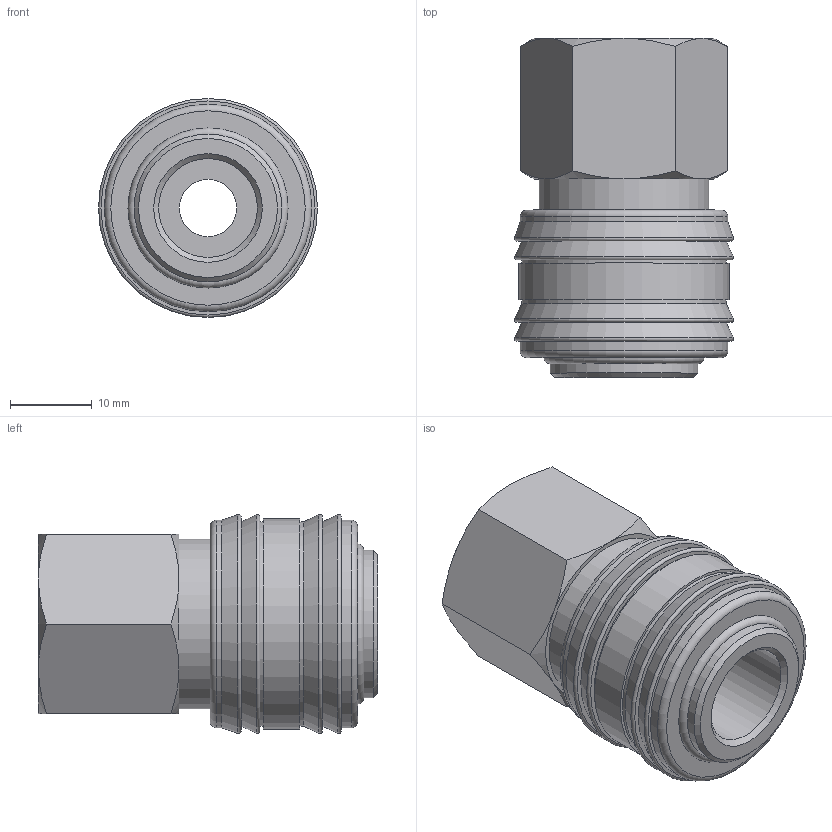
import cadquery as cq
import math


total_length = 41.5
hex_length = 17.2
sleeve_front = 2.45
sleeve_rear = 20.5
flange_front = 1.7

hex_across_flats = 22.0
hex_across_corners = hex_across_flats / math.cos(math.radians(30))
hex_chamfer_angle = 30.0
hex_front = total_length - hex_length

neck_radius = 10.4
sleeve_radius = 12.7
ridge_radius = 13.4
ridge_root_radius = 12.5
band_radius = 12.85
flange_radius = 9.8

sleeve_round = 0.8
ridge_tip_round = 0.3
ridge_pitch = 2.3
front_ridge_face = 4.45
rear_ridge_face = 14.4
ridge_slope = 25.0
last_ridge_slope = 19.0
band_front = 9.5
band_rear = 14.0

flange_round = sleeve_front - flange_front
mouth_radius = flange_radius - flange_round
mouth_chamfer = 0.55

socket_radius = 6.05
socket_chamfer = 0.6
socket_depth = sleeve_rear
passage_radius = 3.5


def revolve_about_y(profile):
    """Turn a closed (radius, Y) profile a full circle about the Y axis."""
    return profile.close().revolve(360, (0, 0, 0), (0, 1, 0))


def quarter_round(profile, centre_r, centre_y, radius, start_deg):
    """Add a quarter arc running anticlockwise from start_deg about its centre."""
    return add_arc(profile, centre_r, centre_y, radius, start_deg, start_deg + 90)


def add_arc(profile, centre_r, centre_y, radius, start_deg, end_deg):
    """Add an arc that starts at the current point, given by its angles."""
    def on_arc(degrees):
        angle = math.radians(degrees)
        return (centre_r + radius * math.cos(angle), centre_y + radius * math.sin(angle))

    return profile.threePointArc(on_arc((start_deg + end_deg) / 2), on_arc(end_deg))


def add_ridge(profile, face_y, slope, rear_root_radius):
    """Add a sawtooth ridge: steep front face, rounded tip and conical back."""
    tip_r = ridge_radius - ridge_tip_round
    tip_y = face_y + ridge_tip_round
    slope_angle = math.radians(slope)
    back_start_r = tip_r + ridge_tip_round * math.cos(slope_angle)
    back_start_y = tip_y + ridge_tip_round * math.sin(slope_angle)
    back_length = (back_start_r - rear_root_radius) / math.tan(slope_angle)

    profile = profile.lineTo(tip_r, face_y)
    profile = add_arc(profile, tip_r, tip_y, ridge_tip_round, -90, slope)
    return profile.lineTo(rear_root_radius, back_start_y + back_length)


def make_mouth():
    """Plain mouth with a chamfered end and the rounded flange behind it."""
    profile = (
        cq.Workplane("XY")
        .moveTo(0, 0)
        .lineTo(mouth_radius - mouth_chamfer, 0)
        .lineTo(mouth_radius, mouth_chamfer)
        .lineTo(mouth_radius, flange_front)
    )
    profile = quarter_round(profile, mouth_radius, sleeve_front, flange_round, -90)
    return revolve_about_y(profile.lineTo(0, sleeve_front))


def make_sleeve():
    """Grip sleeve with a pair of ridges on either side of the central band."""
    round_r = sleeve_radius - sleeve_round
    profile = cq.Workplane("XY").moveTo(0, sleeve_front).lineTo(round_r, sleeve_front)
    profile = quarter_round(profile, round_r, sleeve_front + sleeve_round, sleeve_round, -90)

    second_ridge_face = front_ridge_face + ridge_pitch
    last_ridge_face = rear_ridge_face + ridge_pitch
    profile = profile.lineTo(sleeve_radius, front_ridge_face)
    profile = add_ridge(profile, front_ridge_face, ridge_slope, ridge_root_radius)
    profile = profile.lineTo(ridge_root_radius, second_ridge_face)
    profile = add_ridge(profile, second_ridge_face, ridge_slope, ridge_root_radius)

    profile = (
        profile.lineTo(ridge_root_radius, band_front)
        .lineTo(band_radius, band_front)
        .lineTo(band_radius, band_rear)
        .lineTo(ridge_root_radius, band_rear)
        .lineTo(ridge_root_radius, rear_ridge_face)
    )
    profile = add_ridge(profile, rear_ridge_face, ridge_slope, ridge_root_radius)
    profile = profile.lineTo(ridge_root_radius, last_ridge_face)
    profile = add_ridge(profile, last_ridge_face, last_ridge_slope, sleeve_radius)

    profile = profile.lineTo(sleeve_radius, sleeve_rear - sleeve_round)
    profile = quarter_round(profile, round_r, sleeve_rear - sleeve_round, sleeve_round, 0)
    return revolve_about_y(profile.lineTo(0, sleeve_rear))


def make_neck():
    """Plain cylinder joining the sleeve to the hexagon."""
    profile = (
        cq.Workplane("XY")
        .moveTo(0, sleeve_rear)
        .lineTo(neck_radius, sleeve_rear)
        .lineTo(neck_radius, hex_front)
        .lineTo(0, hex_front)
    )
    return revolve_about_y(profile)


def make_hexagon():
    """Hexagon whose corners are turned off conically at both ends."""
    prism = (
        cq.Workplane("XZ", origin=(0, total_length, 0))
        .polygon(6, hex_across_corners)
        .extrude(hex_length)
    )
    end_radius = hex_across_flats / 2
    corner_radius = hex_across_corners / 2
    chamfer_length = (corner_radius - end_radius) * math.tan(math.radians(hex_chamfer_angle))
    envelope = (
        cq.Workplane("XY")
        .moveTo(0, hex_front)
        .lineTo(end_radius, hex_front)
        .lineTo(corner_radius, hex_front + chamfer_length)
        .lineTo(corner_radius, total_length - chamfer_length)
        .lineTo(end_radius, total_length)
        .lineTo(0, total_length)
    )
    return prism.intersect(revolve_about_y(envelope))


def make_bore():
    """Chamfered socket followed by a narrower passage through the hexagon."""
    profile = (
        cq.Workplane("XY")
        .moveTo(0, 0)
        .lineTo(socket_radius + socket_chamfer, 0)
        .lineTo(socket_radius, socket_chamfer)
        .lineTo(socket_radius, socket_depth)
        .lineTo(passage_radius, socket_depth)
        .lineTo(passage_radius, total_length)
        .lineTo(0, total_length)
    )
    return revolve_about_y(profile)


body = make_mouth().union(make_sleeve()).union(make_neck()).union(make_hexagon())
result = body.cut(make_bore())